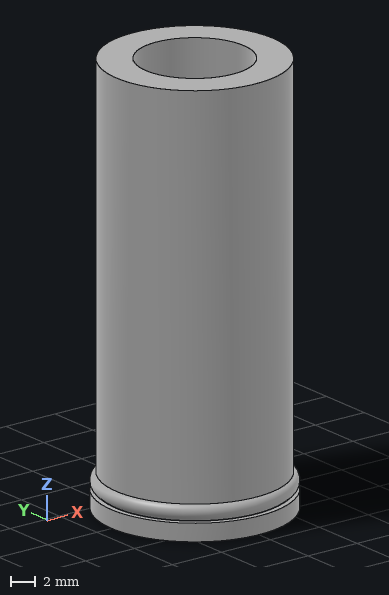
import cadquery as cq

length = 38.5
bore_diameter = 10.0
tube_diameter = 16.0
flange_diameter = 17.0
flange_height = 1.6
bead_section_diameter = 1.5

bead_section_radius = bead_section_diameter / 2
bead_center_radius = flange_diameter / 2 - bead_section_radius
bead_top = flange_height + bead_section_diameter


def make_cylinder(diameter, height):
    """Upright cylinder standing on the base plane."""
    return cq.Workplane("XY").circle(diameter / 2).extrude(height)


def make_bead():
    """Solid disc with a half-round rim, resting on the flange."""
    return (
        cq.Workplane("XZ")
        .moveTo(0, flange_height)
        .lineTo(bead_center_radius, flange_height)
        .threePointArc(
            (flange_diameter / 2, flange_height + bead_section_radius),
            (bead_center_radius, bead_top),
        )
        .lineTo(0, bead_top)
        .close()
        .revolve(360, (0, 0), (0, 1))
    )


tube = make_cylinder(tube_diameter, length)
flange = make_cylinder(flange_diameter, flange_height)
bore = make_cylinder(bore_diameter, length)

result = tube.union(flange).union(make_bead()).cut(bore)